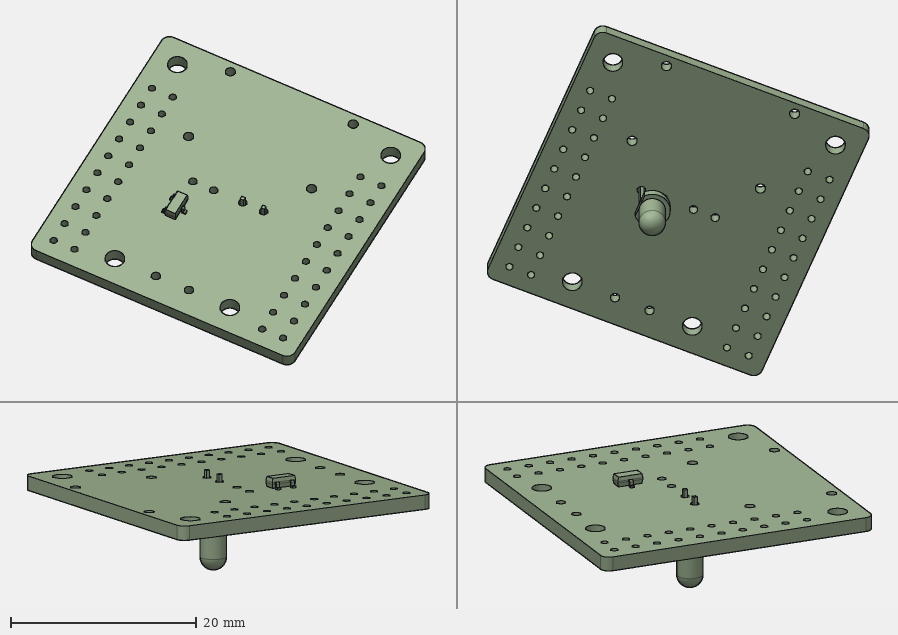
import cadquery as cq


TOTAL_HEIGHT = 11.2

BOARD_SIDE = 32.0
BOARD_THICKNESS = 1.6
BOARD_CORNER_RADIUS = 1.0

MOUNT_HOLE_DIAMETER = 2.1
MOUNT_HOLE_Y = 13.0
REAR_MOUNT_X = 13.0
FRONT_MOUNT_X = 7.0

HEADER_HOLE_DIAMETER = 0.77
HEADER_ROWS = 10
HEADER_LENGTH = 22.85
PIN_PITCH = HEADER_LENGTH / (HEADER_ROWS - 1)
HEADER_X = 12.7
HEADER_Y = -2.5

MODULE_HOLE_DIAMETER = 1.1
MODULE_HOLE_X = 7.5
MODULE_HOLE_REAR_Y = 14.8
MODULE_HOLE_FRONT_Y = 5.1

LEAD_HOLE_DIAMETER = 0.9
LED_X = 3.05

TERMINAL_HOLE_DIAMETER = 1.0
TERMINAL_HOLE_X = 2.0

LENS_DIAMETER = 2.88
LED_FLANGE_DIAMETER = 3.9
LED_FLANGE_THICKNESS = 0.95
LED_SEAT_Z = -4.67
LED_TIP_Z = -10.0
LED_LEAD_WIDTH = 0.4
LED_LEAD_TOP_Z = 0.8

CHIP_X = -4.2
CHIP_Y = -4.05
CHIP_WIDTH = 1.35
CHIP_LENGTH = 2.95
CHIP_TOP_Z = LED_TIP_Z + TOTAL_HEIGHT
CHIP_BOTTOM_Z = 0.1
CHIP_TAPER_ANGLE = 10.0
CHIP_LEAD_SPAN = 2.4
CHIP_SHOULDER_SPAN = 1.9
CHIP_LEAD_WIDTH = 0.4
CHIP_LEAD_THICKNESS = 0.2
CHIP_LEAD_BEND_RADIUS = 0.2
CHIP_LEAD_TOP_Z = 0.77
CHIP_LEAD_SPACING = 1.9


def mirrored_x(x, y):
    return [(-x, y), (x, y)]


def lead_pair(centre_x):
    """Points of two leads one pitch apart on the X axis."""
    return [(centre_x - PIN_PITCH / 2, 0), (centre_x + PIN_PITCH / 2, 0)]


def drill(board, diameter, points):
    return board.faces(">Z").workplane(origin=(0, 0, 0)).pushPoints(points).hole(diameter)


def header_points(centre_x):
    """Two columns of evenly pitched holes."""
    first_y = HEADER_Y - HEADER_LENGTH / 2
    return [
        (x, first_y + row * PIN_PITCH)
        for x in (centre_x - PIN_PITCH / 2, centre_x + PIN_PITCH / 2)
        for row in range(HEADER_ROWS)
    ]


def make_board():
    board = (
        cq.Workplane("XY")
        .rect(BOARD_SIDE, BOARD_SIDE)
        .extrude(-BOARD_THICKNESS)
        .edges("|Z")
        .fillet(BOARD_CORNER_RADIUS)
    )
    mount_points = mirrored_x(REAR_MOUNT_X, MOUNT_HOLE_Y) + mirrored_x(FRONT_MOUNT_X, -MOUNT_HOLE_Y)
    module_points = [
        point
        for y in (MODULE_HOLE_REAR_Y, MODULE_HOLE_FRONT_Y)
        for point in mirrored_x(MODULE_HOLE_X, y)
    ]
    lead_points = lead_pair(-LED_X) + lead_pair(LED_X)
    terminal_points = mirrored_x(TERMINAL_HOLE_X, -MOUNT_HOLE_Y)
    board = drill(board, MOUNT_HOLE_DIAMETER, mount_points)
    board = drill(board, MODULE_HOLE_DIAMETER, module_points)
    board = drill(board, HEADER_HOLE_DIAMETER, header_points(-HEADER_X) + header_points(HEADER_X))
    board = drill(board, LEAD_HOLE_DIAMETER, lead_points)
    return drill(board, TERMINAL_HOLE_DIAMETER, terminal_points)


def make_led():
    """LED hanging lens-down below the board, its two square leads passing up through it."""
    lens_radius = LENS_DIAMETER / 2
    dome_z = LED_TIP_Z + lens_radius
    seat = cq.Workplane("XY", origin=(LED_X, 0, LED_SEAT_Z))

    flange = seat.circle(LED_FLANGE_DIAMETER / 2).extrude(-LED_FLANGE_THICKNESS)
    keep_width = LED_FLANGE_DIAMETER / 2 + lens_radius
    keep = seat.center(lens_radius - keep_width / 2, 0).rect(keep_width, LED_FLANGE_DIAMETER)
    flange = flange.intersect(keep.extrude(-LED_FLANGE_THICKNESS))

    lens = seat.circle(lens_radius).extrude(dome_z - LED_SEAT_Z)
    dome = cq.Workplane("XY", origin=(LED_X, 0, dome_z)).sphere(lens_radius)
    leads = (
        cq.Workplane("XY", origin=(0, 0, LED_SEAT_Z))
        .pushPoints(lead_pair(LED_X))
        .rect(LED_LEAD_WIDTH, LED_LEAD_WIDTH)
        .extrude(LED_LEAD_TOP_Z - LED_SEAT_Z)
    )
    return flange.union(lens).union(dome).union(leads)


def make_chip_lead(side, y):
    """Gull-wing lead reaching out towards side (-1 or +1) along X, with its foot on the board."""
    shoulder = CHIP_SHOULDER_SPAN / 2
    foot = CHIP_LEAD_SPAN / 2
    thickness = CHIP_LEAD_THICKNESS
    outline = [
        (0, CHIP_LEAD_TOP_Z),
        (shoulder, CHIP_LEAD_TOP_Z),
        (shoulder, thickness),
        (foot, thickness),
        (foot, 0),
        (shoulder - thickness, 0),
        (shoulder - thickness, CHIP_LEAD_TOP_Z - thickness),
        (0, CHIP_LEAD_TOP_Z - thickness),
    ]
    lead = (
        cq.Workplane("XZ", origin=(CHIP_X, CHIP_Y + y, 0))
        .polyline([(side * x, z) for x, z in outline])
        .close()
        .extrude(CHIP_LEAD_WIDTH / 2, both=True)
    )
    outer_bend = cq.selectors.NearestToPointSelector((CHIP_X + side * shoulder, CHIP_Y + y, CHIP_LEAD_TOP_Z))
    return lead.edges("|Y").edges(outer_bend).fillet(CHIP_LEAD_BEND_RADIUS)


def make_chip():
    """Moulded three-lead transistor: straight waist at lead height, tapered above and below it."""
    waist_bottom_z = CHIP_LEAD_TOP_Z - CHIP_LEAD_THICKNESS

    def waist_outline(z):
        return cq.Workplane("XY", origin=(CHIP_X, CHIP_Y, z)).rect(CHIP_WIDTH, CHIP_LENGTH)

    upper_height = CHIP_TOP_Z - CHIP_LEAD_TOP_Z
    lower_height = waist_bottom_z - CHIP_BOTTOM_Z
    waist = waist_outline(waist_bottom_z).extrude(CHIP_LEAD_THICKNESS)
    upper = waist_outline(CHIP_LEAD_TOP_Z).extrude(upper_height, taper=CHIP_TAPER_ANGLE)
    lower = waist_outline(waist_bottom_z).extrude(-lower_height, taper=CHIP_TAPER_ANGLE)
    chip = waist.union(upper).union(lower)
    for side, y in ((-1, CHIP_LEAD_SPACING / 2), (-1, -CHIP_LEAD_SPACING / 2), (1, 0)):
        chip = chip.union(make_chip_lead(side, y))
    return chip


board = make_board()
led = make_led()
chip = make_chip()

result = cq.Compound.makeCompound([part.solids().val() for part in (board, led, chip)])